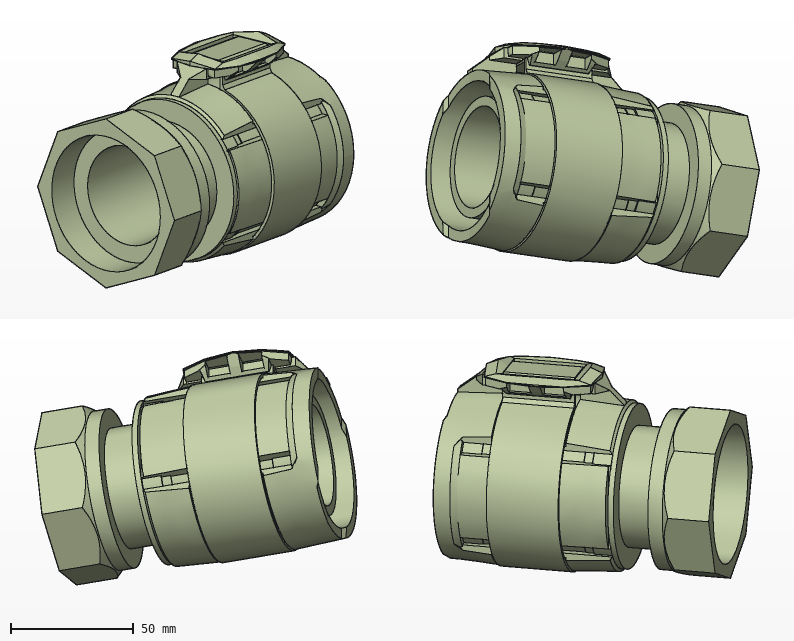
import cadquery as cq

LENGTH = 116.2
FAR = 46.5

NUT_CORNER_DIA = 72.4
NUT_SIDES = 8
NUT_BORE_DIA = 57.4
NUT_CHAMFER_Y = 17.2
NUT_COLLAR_Y = 20.3
NUT_END_Y = 26.4
NUT_COLLAR_DIA = 66.0
NUT_SEAT_Y = 19.8

NECK_DIA = 50.1
NIPPLE_BORE_DIA = 42.1
FLANGE_DIA = 56.5
FLANGE_Y = 13.7
DISC_DIA = 68.0
DISC_Y = 40.7
DISC_END_Y = 43.0
TAIL_END_Y = 110.4

BAND_DIA = 73.7
BAND_THICK = 1.4
BAND_WIDTH = 30.2
BAND_MID_Y = 78.3
BAND_INNER_R = BAND_DIA / 2 - BAND_THICK
EAR_IN_X = 8.1
EAR_OUT_X = EAR_IN_X + BAND_THICK
EAR_TOP_Z = 45.3
EAR_FOOT_Z = 37.2
EAR_FOOT_X = 10.9

SHELL_R = 36.4
SHELL_END_R = 35.2
SHELL_BORE_DIA = 61.8
SHELL_BODY_Y = 44.0
SHELL_LIP_R = 34.0
SHELL_LIP_END_Y = 47.6
BAND_GAP = 0.6
END_STEP_Y = 114.2
END_STEP_RISE = 0.5
END_STEP_X = 18.1
END_STEP_TOP_X = 21.6
END_BULGE_R = 929.6
RECESS_X = 26.1
RECESS_HALF_Z = 26.7
RECESS_END_Y = 109.1
RECESS_BEVEL_Y = 103.8
RECESS_END_HALF_Z = 21.0
GAP_X = 28.6
PANEL_R = 34.6
PANEL_FRONT_R = 33.9
PANEL_HALF_Z = 17.8
PANEL_END_Y = 106.2
RAMP_R = 35.5
SLOT_FLOOR_R = 32.1
SLOT_DEEP_R = 31.6
SLOT_DEEP_Y = (55.0, 98.0)
SLOT_TOP_Z = 22.1
SLOT_FRONT_R = 32.9
SLOT_FRONT_END_Y = 51.1

RIB_HALF = 2.2
RIB_HEAD_HALF = 7.8
RIB_HEAD_Z = 41.1
RIB_ROOT_Z = 29.0
FRONT_RIB = dict(start=(SHELL_BODY_Y, 35.2), top=(55.0, 45.8), neck_y=50.4)
REAR_RIB = dict(start=(END_STEP_Y, 36.5), top=(102.5, 45.7), neck_y=106.3)

CAP_TOP_Z = 49.7
CAP_BOTTOM_Z = 38.9
CAP_END_BOTTOM_Z = 42.1
CAP_HALF_X = 17.4
CAP_HALF_Y = 24.4
CAP_EDGE_Z = 45.7
CAP_PLAN = [(0, CAP_HALF_Y), (11.6, 22.4), (16.2, 12.0), (CAP_HALF_X, 0)]
CAP_EDGE_HEIGHTS = [47.6, 46.1, 45.9, 46.2]
CAP_CREST = [(0, 19.4, CAP_TOP_Z), (11.5, 17.4, 47.6), (12.7, 10.5, 47.9), (13.1, 0, 48.1)]
HULL_SIDE = [(0, CAP_EDGE_Z), (CAP_HALF_X, CAP_EDGE_Z), (13.4, 41.6), (10.0, CAP_BOTTOM_Z)]
HULL_END = [
    (0, CAP_EDGE_Z), (22.9, CAP_EDGE_Z), (22.1, CAP_END_BOTTOM_Z),
    (14.5, CAP_END_BOTTOM_Z), (13.5, CAP_BOTTOM_Z),
]
HULL_PLAN = [(0, 23.7), (10.9, 22.1), (15.3, 12.0), (CAP_HALF_X, 0)]
CAP_CHANNEL_Z = 41.1
POCKET_SIZE = (20.2, 30.5)
POCKET_MOUTH_Z = 47.4
POCKET_FLOOR_Z = 45.7
PLATE_FLAT_HALF = 7.0
PLATE_BEND_HALF = 8.4
PLATE_Z = 47.2
PLATE_BEND_Z = 46.7
PLATE_END_GAP = 0.6
WINDOW_WIDTH = 9.5
WINDOW_MID_Y = 7.2
WINDOW_BOTTOM_Z = 40.1
WINDOW_TOP_Z = EAR_TOP_Z


def block(x0, x1, y0, y1, z0, z1):
    return cq.Workplane("XY").box(x1 - x0, y1 - y0, z1 - z0, centered=False).translate((x0, y0, z0))


def turned(profile):
    """Revolve (radius, y) points about the Y axis."""
    return cq.Workplane("XY").polyline(profile).close().revolve(360, (0, 0, 0), (0, 1, 0))


def disc(diameter, y0, y1):
    radius = diameter / 2
    return turned([(0, y0), (radius, y0), (radius, y1), (0, y1)])


def side_profile(points, half_width):
    """Extrude (y, z) points to both sides of X = 0."""
    return cq.Workplane("YZ").polyline(points).close().extrude(half_width, both=True)


def front_profile(points, y0, y1):
    """Extrude (x, z) points from y0 to y1."""
    return cq.Workplane("XZ", origin=(0, y0, 0)).polyline(points).close().extrude(y0 - y1)


def mirrored(half):
    """Outline from its +side points and their mirror image in the second axis."""
    return half + [(-a, b) for a, b in reversed(half) if a != 0]


def both_sides(solid):
    return solid.union(solid.mirror("YZ"))


def make_nut():
    octagon = cq.Workplane("XZ").polygon(NUT_SIDES, NUT_CORNER_DIA).extrude(-NUT_COLLAR_Y)
    corner_r = NUT_CORNER_DIA / 2
    collar_r = NUT_COLLAR_DIA / 2
    envelope = turned([
        (0, 0), (corner_r, 0), (corner_r, NUT_CHAMFER_Y), (collar_r, NUT_COLLAR_Y), (0, NUT_COLLAR_Y),
    ])
    nut = octagon.intersect(envelope).union(disc(NUT_COLLAR_DIA, NUT_COLLAR_Y, NUT_END_Y))
    return nut.cut(disc(NUT_BORE_DIA, 0, NUT_SEAT_Y)).cut(disc(NECK_DIA, 0, NUT_END_Y))


def make_nipple():
    tube = disc(NECK_DIA, FLANGE_Y, TAIL_END_Y)
    flange = disc(FLANGE_DIA, FLANGE_Y, NUT_SEAT_Y)
    stop_disc = disc(DISC_DIA, DISC_Y, DISC_END_Y)
    return tube.union(flange).union(stop_disc).cut(disc(NIPPLE_BORE_DIA, 0, LENGTH))


def make_band():
    y0 = BAND_MID_Y - BAND_WIDTH / 2
    y1 = BAND_MID_Y + BAND_WIDTH / 2
    ring = disc(BAND_DIA, y0, y1).cut(disc(2 * BAND_INNER_R, y0, y1))
    ring = ring.cut(block(-EAR_IN_X, EAR_IN_X, y0, y1, 0, FAR))
    root_z = BAND_INNER_R - BAND_THICK / 2
    ear_points = [
        (EAR_IN_X, root_z), (EAR_IN_X, EAR_TOP_Z), (EAR_OUT_X, EAR_TOP_Z),
        (EAR_OUT_X, EAR_FOOT_Z), (EAR_FOOT_X, root_z),
    ]
    ear = front_profile(ear_points, y0, y1).cut(disc(2 * BAND_INNER_R, y0, y1))
    return ring.union(both_sides(ear))


def full_ring(quarter):
    """Closed ring from points running from the +Y end (X = 0) to the +X side (Y = 0)."""
    half = quarter + [(x, -y, z) for x, y, z in reversed(quarter[:-1])]
    return half + [(-x, y, z) for x, y, z in reversed(half[1:-1])]


def face(points):
    return cq.Face.makeFromWires(cq.Wire.makePolygon([cq.Vector(*p) for p in points], close=True))


def ring_faces(lower, upper):
    """Ruled faces joining two rings with equal numbers of points."""
    faces = []
    for i in range(len(lower)):
        j = (i + 1) % len(lower)
        low_edge = cq.Edge.makeLine(cq.Vector(*lower[i]), cq.Vector(*lower[j]))
        high_edge = cq.Edge.makeLine(cq.Vector(*upper[i]), cq.Vector(*upper[j]))
        faces.append(cq.Face.makeRuledSurface(low_edge, high_edge))
    return faces


def cap_crown():
    """Upper part of the buckle: slopes from the edge up to a crest, then down to the pocket."""
    base = full_ring([(x, y, CAP_EDGE_Z) for x, y in CAP_PLAN])
    edge = full_ring([(x, y, z) for (x, y), z in zip(CAP_PLAN, CAP_EDGE_HEIGHTS)])
    crest = full_ring(CAP_CREST)
    half_x = POCKET_SIZE[0] / 2
    half_y = POCKET_SIZE[1] / 2
    mouth_corners = [(0, half_y), (half_x, half_y), (half_x, half_y / 2), (half_x, 0)]
    mouth = full_ring([(x, y, POCKET_MOUTH_Z) for x, y in mouth_corners])
    faces = [face(base), face(mouth)]
    for lower, upper in ((base, edge), (edge, crest), (crest, mouth)):
        faces += ring_faces(lower, upper)
    return cq.Workplane(cq.Solid.makeSolid(cq.Shell.makeShell(faces)))


def cap_hull():
    """Boat-shaped underside of the buckle."""
    ring = full_ring([(x, y, 0) for x, y in HULL_PLAN])
    outline = [(x, y) for x, y, z in ring]
    plan = cq.Workplane("XY", origin=(0, 0, CAP_BOTTOM_Z)).polyline(outline).close()
    solid = plan.extrude(CAP_EDGE_Z - CAP_BOTTOM_Z)
    solid = solid.intersect(front_profile(mirrored(HULL_SIDE), -CAP_HALF_Y, CAP_HALF_Y))
    return solid.intersect(side_profile(mirrored(HULL_END), CAP_HALF_X))


def cap_pocket():
    """Pocket around a plate whose long sides round down to the pocket walls in two slopes."""
    half_x = POCKET_SIZE[0] / 2
    half_y = POCKET_SIZE[1] / 2
    pocket = block(-half_x, half_x, -half_y, half_y, POCKET_FLOOR_Z, POCKET_MOUTH_Z)
    section = mirrored([
        (0, PLATE_Z), (PLATE_FLAT_HALF, PLATE_Z), (PLATE_BEND_HALF, PLATE_BEND_Z), (half_x, POCKET_FLOOR_Z),
    ])
    return pocket.cut(front_profile(section, PLATE_END_GAP - half_y, half_y))


def make_buckle(band):
    cap = cap_hull().union(cap_crown()).cut(cap_pocket())
    cap = cap.cut(block(-EAR_OUT_X, EAR_OUT_X, -FAR, FAR, 0, CAP_CHANNEL_Z))
    for mid_y in (-WINDOW_MID_Y, WINDOW_MID_Y):
        y0 = mid_y - WINDOW_WIDTH / 2
        window = block(EAR_OUT_X, FAR, y0, y0 + WINDOW_WIDTH, WINDOW_BOTTOM_Z, WINDOW_TOP_Z)
        cap = cap.cut(both_sides(window))
    return cap.translate((0, BAND_MID_Y, 0)).cut(band)


def make_rib(start, top, neck_y):
    """Web rising from the shell end to the buckle, with a head that widens under the buckle."""
    inner_y = BAND_MID_Y
    web_points = [(start[0], RIB_ROOT_Z), start, top, (inner_y, top[1]), (inner_y, RIB_ROOT_Z)]
    web = side_profile(web_points, RIB_HEAD_HALF)
    head_half = [(RIB_HALF, start[0]), (RIB_HALF, neck_y), (RIB_HEAD_HALF, top[0]), (RIB_HEAD_HALF, inner_y)]
    outline = cq.Workplane("XY", origin=(0, 0, RIB_HEAD_Z)).polyline(mirrored(head_half)).close()
    head = outline.extrude(top[1] - RIB_HEAD_Z)
    y0 = min(start[0], inner_y)
    y1 = max(start[0], inner_y)
    stem = block(-RIB_HALF, RIB_HALF, y0, y1, RIB_ROOT_Z, top[1])
    return web.intersect(stem.union(head))


def shell_side_cut():
    """Recess on the +X side, with a raised curved panel left between two slots."""
    recess_half = [
        (RECESS_HALF_Z, DISC_END_Y), (RECESS_HALF_Z, RECESS_BEVEL_Y), (RECESS_END_HALF_Z, RECESS_END_Y),
    ]
    recess_points = [(y, z) for z, y in mirrored(recess_half)]
    recess = cq.Workplane("YZ", origin=(RECESS_X, 0, 0)).polyline(recess_points).close().extrude(FAR)
    slots = block(0, FAR, DISC_END_Y, PANEL_END_Y, -SLOT_TOP_Z, SLOT_TOP_Z)
    cut = recess.union(slots)
    cut = cut.cut(disc(2 * SLOT_FRONT_R, DISC_END_Y, SLOT_FRONT_END_Y))
    cut = cut.cut(disc(2 * SLOT_FLOOR_R, SLOT_FRONT_END_Y, SLOT_DEEP_Y[0]))
    cut = cut.cut(disc(2 * SLOT_DEEP_R, *SLOT_DEEP_Y))
    cut = cut.cut(disc(2 * SLOT_FLOOR_R, SLOT_DEEP_Y[1], PANEL_END_Y))
    panel = turned([
        (0, DISC_END_Y), (PANEL_FRONT_R, DISC_END_Y), (PANEL_R, BAND_MID_Y - BAND_WIDTH / 2),
        (PANEL_R, PANEL_END_Y), (0, PANEL_END_Y),
    ]).intersect(block(0, FAR, DISC_END_Y, PANEL_END_Y, -PANEL_HALF_Z, PANEL_HALF_Z))
    ramp = turned([(0, PANEL_END_Y), (PANEL_R, PANEL_END_Y), (RAMP_R, RECESS_END_Y), (0, RECESS_END_Y)])
    return cut.cut(panel).cut(ramp)


def shell_end():
    """Slightly bulged far end, set back over the top and bottom stretches."""
    bulge = cq.Workplane("YZ").center(LENGTH - END_BULGE_R, 0).circle(END_BULGE_R).extrude(FAR, both=True)
    keep = bulge.intersect(block(-FAR, FAR, 0, LENGTH, -FAR, FAR))
    step_points = mirrored([
        (0, END_STEP_Y), (END_STEP_X, END_STEP_Y + END_STEP_RISE), (END_STEP_TOP_X, LENGTH), (0, LENGTH),
    ])
    step = cq.Workplane("XY").polyline(step_points).close().extrude(FAR, both=True)
    return keep.cut(step)


def make_shell(buckle):
    groove_y0 = BAND_MID_Y - BAND_WIDTH / 2 - BAND_GAP
    groove_y1 = BAND_MID_Y + BAND_WIDTH / 2 + BAND_GAP
    shell = turned([
        (0, DISC_END_Y), (SHELL_LIP_R, DISC_END_Y), (SHELL_END_R, SHELL_BODY_Y), (SHELL_R, groove_y0),
        (SHELL_R, groove_y1), (SHELL_END_R, LENGTH), (0, LENGTH),
    ])
    shell = shell.cut(both_sides(shell_side_cut()))
    shell = shell.cut(both_sides(block(GAP_X, FAR, DISC_END_Y, SHELL_BODY_Y, -FAR, FAR)))
    shell = shell.intersect(shell_end())
    shell = shell.union(make_rib(**FRONT_RIB)).union(make_rib(**REAR_RIB))
    groove = disc(2 * FAR, groove_y0, groove_y1).cut(disc(2 * BAND_INNER_R, groove_y0, groove_y1))
    shell = shell.cut(groove).cut(buckle)
    return shell.cut(disc(SHELL_BORE_DIA, SHELL_LIP_END_Y, LENGTH)).cut(disc(NECK_DIA, DISC_END_Y, LENGTH))


nut = make_nut()
nipple = make_nipple()
band = make_band()
buckle = make_buckle(band)
shell = make_shell(buckle)

result = cq.Compound.makeCompound([nut.val(), nipple.val(), band.val(), buckle.val(), shell.val()])